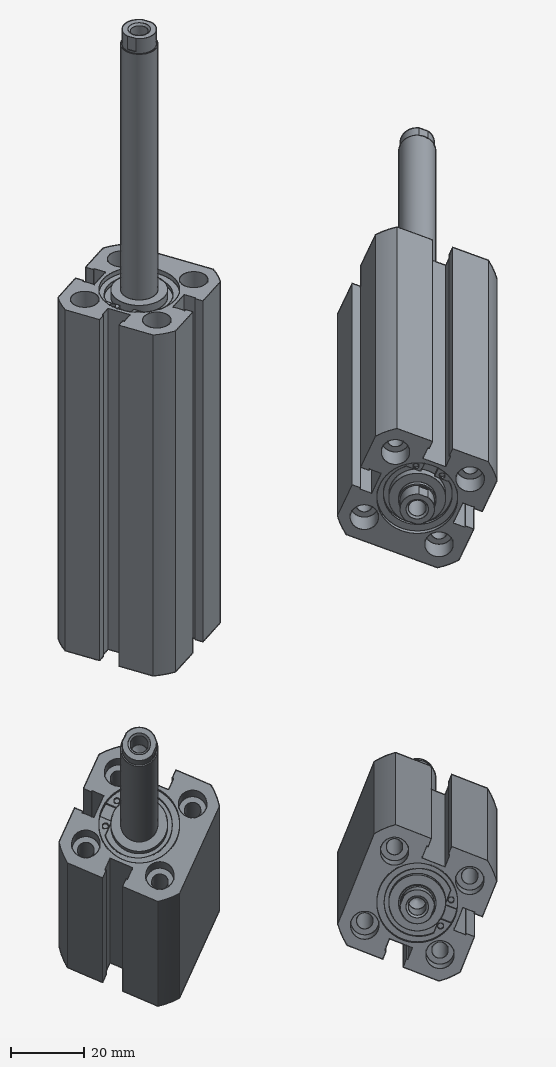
import cadquery as cq
import math

tube_side = 36.0
tube_length = 112.2
corner_radius = 22.5
bore_radius = 11.0

slot_mouth_width = 6.0
slot_inner_width = 6.7
slot_lip = 2.5
slot_floor = 12.0
slot_directions = (180, 0, 270)

mount_pitch = 22.0
mount_radius = 2.2
counterbore_radius = 3.9
counterbore_depth = 7.0

rod_radius = 5.0
rod_top = 197.9
rod_length = 204.0
rod_bottom = rod_top - rod_length
tip_radius = 4.7
tip_length = 4.9
flat_length = 4.3
flat_offset = 4.5
end_hole_radius = 2.5
end_hole_chamfer = 0.6
end_hole_depth = 10.2
drill_tip_angle = 118

boss_radius = 7.8
collar_length = 16.3
ring_recess = 1.5
ring_thickness = 1.0
ring_inner_radius = 9.4
ring_inner_shift = 0.5
ear_edge = 7.3
ear_half_span = 7.3
ring_gap = 4.0
ear_hole_radius = 0.8
ear_hole_x = 3.9
ear_hole_y = -8.4


def cylinder(radius, bottom, top):
    return cq.Workplane("XY").workplane(offset=bottom).circle(radius).extrude(top - bottom)


def mirrored_end(body):
    """Copy of a body from the top end of the tube, placed at the bottom end."""
    return body.mirror("XY", (0, 0, tube_length / 2))


def sensor_slot(direction):
    half = tube_side / 2
    mouth = cq.Workplane("XY").rect(half, slot_mouth_width).extrude(tube_length)
    mouth = mouth.translate((slot_floor + half / 2, 0, 0))
    inner_depth = half - slot_lip - slot_floor
    inner = cq.Workplane("XY").rect(inner_depth, slot_inner_width).extrude(tube_length)
    inner = inner.translate((slot_floor + inner_depth / 2, 0, 0))
    return mouth.union(inner).rotate((0, 0, 0), (0, 0, 1), direction)


def make_tube():
    tube = cq.Workplane("XY").rect(tube_side, tube_side).extrude(tube_length)
    tube = tube.intersect(cylinder(corner_radius, 0, tube_length))
    tube = tube.cut(cylinder(bore_radius, 0, tube_length))
    for direction in slot_directions:
        tube = tube.cut(sensor_slot(direction))
    for end in (">Z", "<Z"):
        tube = (
            tube.faces(end).workplane(origin=(0, 0, 0))
            .rect(mount_pitch, mount_pitch, forConstruction=True).vertices()
            .cboreHole(2 * mount_radius, 2 * counterbore_radius, counterbore_depth)
        )
    return tube


def make_tip():
    """Stepped upper tip of the rod, with two flats and a blind hole."""
    tip = cylinder(tip_radius, rod_top - tip_length, rod_top)
    outside_flats = (
        cq.Workplane("XY").workplane(offset=rod_top - flat_length)
        .pushPoints([(0, flat_offset + rod_radius), (0, -flat_offset - rod_radius)])
        .rect(2 * rod_radius, 2 * rod_radius).extrude(flat_length)
    )
    return tip.cut(outside_flats)


def make_end_hole():
    drill_tip = end_hole_radius / math.tan(math.radians(drill_tip_angle / 2))
    hole_floor = rod_top - end_hole_depth
    return (
        cq.Workplane("XZ").moveTo(0, rod_top)
        .lineTo(end_hole_radius + end_hole_chamfer, rod_top)
        .lineTo(end_hole_radius, rod_top - end_hole_chamfer)
        .lineTo(end_hole_radius, hole_floor).lineTo(0, hole_floor - drill_tip).close()
        .revolve(360, (0, 0, 0), (0, 1, 0))
    )


def make_rod():
    rod_middle = (0, 0, (rod_top + rod_bottom) / 2)
    rod = cylinder(rod_radius, rod_bottom + tip_length, rod_top - tip_length)
    tip = make_tip()
    hole = make_end_hole()
    rod = rod.union(tip).union(tip.mirror("XY", rod_middle))
    return rod.cut(hole).cut(hole.mirror("XY", rod_middle))


def make_collar():
    shoulder = tube_length - ring_recess - ring_thickness
    collar = cylinder(bore_radius, tube_length - collar_length, shoulder)
    collar = collar.union(cylinder(boss_radius, shoulder, tube_length))
    return collar.cut(cylinder(rod_radius, tube_length - collar_length, tube_length))


def make_ring():
    top = tube_length - ring_recess
    bottom = top - ring_thickness
    disc = cylinder(bore_radius, bottom, top)
    band = disc.cut(cylinder(ring_inner_radius, bottom, top).translate((0, -ring_inner_shift, 0)))
    ear_depth = bore_radius - ear_edge
    ears = (
        cq.Workplane("XY").workplane(offset=bottom)
        .center(0, -ear_edge - ear_depth / 2).rect(2 * ear_half_span, ear_depth)
        .extrude(ring_thickness).intersect(disc)
    )
    gap = (
        cq.Workplane("XY").workplane(offset=bottom)
        .center(0, -bore_radius / 2).rect(ring_gap, bore_radius).extrude(ring_thickness)
    )
    ear_holes = (
        cq.Workplane("XY").workplane(offset=bottom)
        .pushPoints([(-ear_hole_x, ear_hole_y), (ear_hole_x, ear_hole_y)])
        .circle(ear_hole_radius).extrude(ring_thickness)
    )
    ring = band.union(ears).cut(gap).cut(ear_holes)
    return ring.cut(cylinder(boss_radius, bottom, top))


tube = make_tube()
rod = make_rod()
collar = make_collar()
ring = make_ring()

bodies = [tube.solids().val(), rod.solids().val()]
for end_body in (collar, ring):
    bodies += [end_body.solids().val(), mirrored_end(end_body).solids().val()]

result = cq.Compound.makeCompound(bodies)